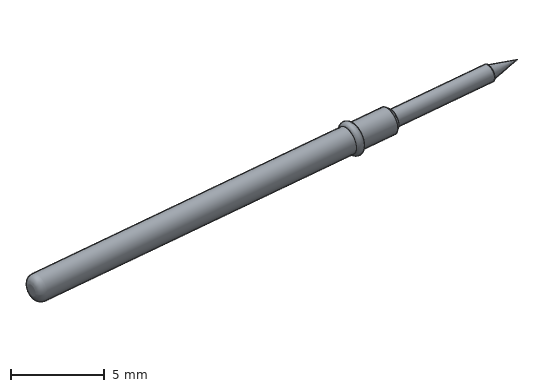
import cadquery as cq

overall_length = 32.3
tip_length = 1.87
plunger_end = 8.33
shoulder_length = 0.23
ring_centre = 11.05

tip_base_radius = 0.45
plunger_radius = 0.52
barrel_radius = 0.8
ring_radius = 1.0

ring_half_width = 0.25
shoulder_height = 0.2
tail_round = 0.45

tip_y = overall_length / 2
tail_y = -overall_length / 2
tip_base_y = tip_y - tip_length
plunger_end_y = tip_y - plunger_end
shoulder_y = plunger_end_y - shoulder_length
ring_y = tip_y - ring_centre


def make_pin():
    """Revolve the half profile of tip, plunger, barrel, press ring and rounded tail."""
    profile = (
        cq.Workplane("XY")
        .moveTo(0, tip_y)
        .lineTo(tip_base_radius, tip_base_y)
        .lineTo(plunger_radius, tip_base_y)
        .lineTo(plunger_radius, plunger_end_y)
        .lineTo(barrel_radius - shoulder_height, plunger_end_y)
        .lineTo(barrel_radius, shoulder_y)
        .lineTo(barrel_radius, ring_y + ring_half_width)
        .threePointArc((ring_radius, ring_y), (barrel_radius, ring_y - ring_half_width))
        .lineTo(barrel_radius, tail_y + tail_round)
        .radiusArc((barrel_radius - tail_round, tail_y), tail_round)
        .lineTo(0, tail_y)
        .close()
    )
    return profile.revolve(360, (0, 0, 0), (0, 1, 0))


result = make_pin()